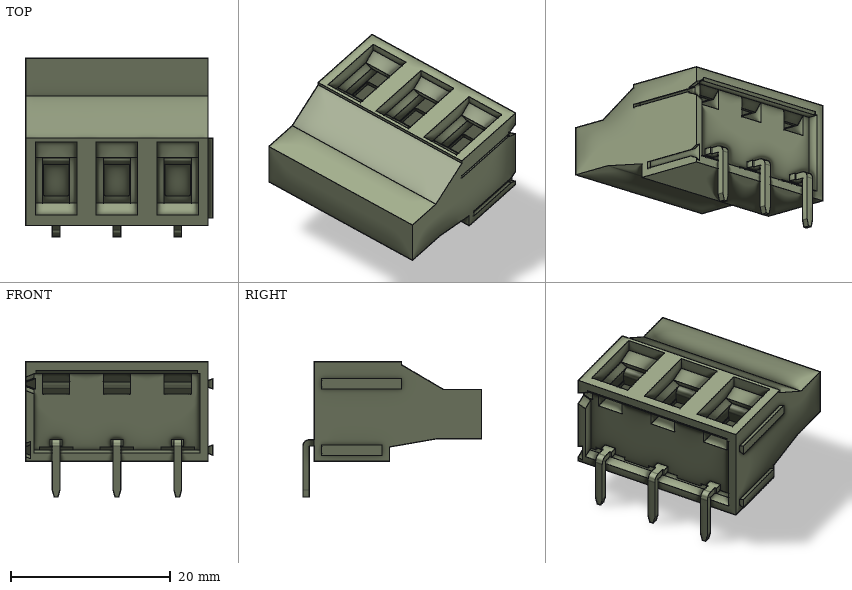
import cadquery as cq


pole_count = 3
pitch = 7.62
body_width = pole_count * pitch
body_height = 12.5
body_depth = 21.0
tower_depth = 10.95
tower_back_bottom = 12.1
foot_depth = 9.45
foot_height = 1.78
tail_start = 16.23
tail_top = 9.0
belly_end = 15.4
tail_bottom = 2.82

recess_wall = 1.03
recess_top = 11.03
recess_depth = 1.43
recess_lip_inset = 1.31
recess_lip_height = 0.38
recess_lip_depth = 0.23
recess_ledge = 1.4
recess_ramp_depth = 1.1
notch_width = 4.2
notch_height = 0.38
notch_depth = 0.47

well_width = 5.18
well_front = 1.31
well_back = 10.49
throat_width = 3.4
throat_front = 2.82
throat_back = 8.52
front_slope_top = 11.5
back_slope_top = 11.03
side_slope_top = 10.45
side_slope_bottom = 9.95
well_floor = 8.42
window_ceiling_back = 2.35
bar_front = 7.62
bar_radius = 0.8
pocket_front = 3.7
pocket_width = 3.2
pocket_depth = 0.47
pocket_corner = 0.23

pin_width = 0.99
pin_thickness = 0.82
pin_reach = 1.4
pin_top = 2.72
pin_drop = 4.5
pin_tip_width = 0.47
pin_tip_length = 0.91
shoulder_width = 1.5
shoulder_front = 0.5
shoulder_back = recess_depth + 0.23

undercut = 0.39
rib_height = 0.59
rib_front = 0.95
upper_dovetail_z = 9.71
lower_dovetail_z = 1.4
rib_root_half = 0.42
mouth_half = 0.85
upper_groove_half = 0.19
upper_groove_depth = 1.22
upper_mouth_depth = 1.31
upper_mouth_end_half = 0.33
lower_groove_half = 0.42
lower_groove_depth = 0.59
lower_mouth_depth = 0.87
lower_dovetail_back = 8.52

pole_centers = [pitch * (i + 0.5) for i in range(pole_count)]


def box(x_range, y_range, z_range):
    """Box between two limits on each axis."""
    size = [limits[1] - limits[0] for limits in (x_range, y_range, z_range)]
    corner = (x_range[0], y_range[0], z_range[0])
    return cq.Workplane("XY").box(*size, centered=False).translate(corner)


def slab(points, x_start, width):
    """Side outline of (y, z) points, extruded along X."""
    return cq.Workplane("YZ", origin=(x_start, 0, 0)).polyline(points).close().extrude(width)


def centered_slab(points, x_center, width):
    return slab(points, x_center - width / 2, width)


def around(center, width):
    return (center - width / 2, center + width / 2)


def make_housing():
    outline = [
        (0, 0),
        (0, body_height),
        (tower_depth, body_height),
        (tower_depth, tower_back_bottom),
        (tail_start, tail_top),
        (body_depth, tail_top),
        (body_depth, tail_bottom),
        (belly_end, tail_bottom),
        (foot_depth, foot_height),
        (foot_depth, 0),
    ]
    return slab(outline, 0, body_width)


def make_front_recess():
    """Shallow recess with a ramped floor and a bevelled upper lip."""
    outline = [
        (0, recess_wall),
        (recess_ramp_depth, recess_ledge),
        (recess_depth, recess_ledge),
        (recess_depth, recess_top),
        (0, recess_top),
    ]
    recess = slab(outline, recess_wall, body_width - 2 * recess_wall)
    lip = [(0, recess_top), (recess_lip_depth, recess_top), (0, recess_top + recess_lip_height)]
    return recess.union(slab(lip, recess_lip_inset, body_width - 2 * recess_lip_inset))


def make_pole_cut(x):
    """Screw well, its window to the front recess and the notch behind the pin."""
    opening = centered_slab(
        [
            (well_front, body_height),
            (well_front, front_slope_top),
            (throat_front, side_slope_top),
            (throat_back, side_slope_top),
            (well_back, back_slope_top),
            (well_back, body_height),
        ],
        x,
        well_width,
    )
    side_slopes = (
        cq.Workplane("XZ", origin=(x, throat_front, 0))
        .moveTo(-well_width / 2, side_slope_top)
        .lineTo(well_width / 2, side_slope_top)
        .lineTo(throat_width / 2, side_slope_bottom)
        .lineTo(-throat_width / 2, side_slope_bottom)
        .close()
        .extrude(throat_front - throat_back)
    )
    throat = (
        cq.Workplane("YZ", origin=(x - throat_width / 2, 0, 0))
        .moveTo(recess_depth, well_floor)
        .lineTo(bar_front, well_floor)
        .lineTo(bar_front, side_slope_bottom - bar_radius)
        .radiusArc((bar_front + bar_radius, side_slope_bottom), bar_radius)
        .lineTo(window_ceiling_back, side_slope_bottom)
        .lineTo(recess_depth, recess_top)
        .close()
        .extrude(throat_width)
    )
    pocket = (
        box(around(x, pocket_width), (pocket_front, bar_front), (well_floor - pocket_depth, well_floor))
        .edges("|Z and <Y")
        .fillet(pocket_corner)
    )
    notch = box(
        around(x, notch_width),
        (recess_ramp_depth, recess_depth + notch_depth),
        (recess_ledge, recess_ledge + notch_height),
    )
    return opening.union(side_slopes).union(throat).union(pocket).union(notch)


def make_pin(x):
    """Pin that leaves the recess, bends down and ends in a tapered tip."""
    bend_start = pin_thickness - pin_reach
    side = (
        cq.Workplane("YZ", origin=(x - pin_width / 2, 0, 0))
        .moveTo(shoulder_back, pin_top)
        .lineTo(bend_start, pin_top)
        .radiusArc((-pin_reach, pin_top - pin_thickness), -pin_thickness)
        .lineTo(-pin_reach, -pin_drop)
        .lineTo(bend_start, -pin_drop)
        .lineTo(bend_start, pin_top - pin_thickness)
        .lineTo(shoulder_back, pin_top - pin_thickness)
        .close()
        .extrude(pin_width)
    )
    tip_start = pin_tip_length - pin_drop
    front = (
        cq.Workplane("XZ", origin=(x, shoulder_back, 0))
        .moveTo(-pin_width / 2, pin_top)
        .lineTo(pin_width / 2, pin_top)
        .lineTo(pin_width / 2, tip_start)
        .lineTo(pin_tip_width / 2, -pin_drop)
        .lineTo(-pin_tip_width / 2, -pin_drop)
        .lineTo(-pin_width / 2, tip_start)
        .close()
        .extrude(shoulder_back + pin_reach)
    )
    shoulder = box(
        around(x, shoulder_width),
        (shoulder_front, shoulder_back),
        (pin_top - pin_thickness, pin_top),
    )
    return side.intersect(front).union(shoulder)


def dovetail_section(x, y, z, depth, half):
    """Section across Y that starts at x with the given half height and widens towards +X."""
    wide = half + undercut * depth
    corners = [(x, z - half), (x + depth, z - wide), (x + depth, z + wide), (x, z + half)]
    return cq.Wire.makePolygon([cq.Vector(cx, y, cz) for cx, cz in corners], close=True)


def dovetail(x, z, depth, start, end):
    """Straight or flared dovetail between two (y, half height) stations."""
    sections = [dovetail_section(x, y, z, depth, half) for y, half in (start, end)]
    return cq.Workplane(obj=cq.Solid.makeLoft(sections, True))


def make_groove(z, depth, half, back, mouth_depth, mouth_end_half):
    """Dovetail groove with a flared mouth at the front face."""
    flare = dovetail(0, z, depth, (0, mouth_half), (mouth_depth, mouth_end_half))
    return flare.union(dovetail(0, z, depth, (mouth_depth, half), (back, half)))


def make_rib(z, back):
    return dovetail(body_width, z, rib_height, (rib_front, rib_root_half), (back, rib_root_half))


result = make_housing().cut(make_front_recess())
for pole_x in pole_centers:
    result = result.cut(make_pole_cut(pole_x))

upper_groove = make_groove(
    upper_dovetail_z,
    upper_groove_depth,
    upper_groove_half,
    tower_depth,
    upper_mouth_depth,
    upper_mouth_end_half,
)
lower_groove = make_groove(
    lower_dovetail_z,
    lower_groove_depth,
    lower_groove_half,
    lower_dovetail_back,
    lower_mouth_depth,
    lower_groove_half,
)
result = result.cut(upper_groove).cut(lower_groove)
result = result.union(make_rib(upper_dovetail_z, tower_depth))
result = result.union(make_rib(lower_dovetail_z, lower_dovetail_back))

for pole_x in pole_centers:
    result = result.union(make_pin(pole_x))